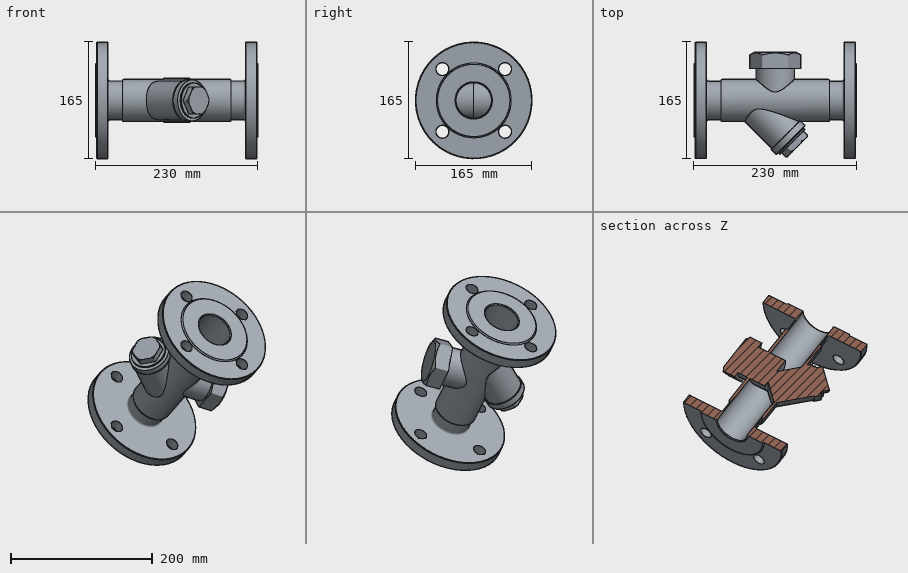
import cadquery as cq
import math


LENGTH = 230.0
HALF_LENGTH = LENGTH / 2
BORE_RADIUS = 50.0 / 2
BORE_CHAMFER = 1.4
NECK_RADIUS = 55.0 / 2
BODY_RADIUS = 60.0 / 2
BODY_HALF_LENGTH = 76.8
BODY_FILLET = BODY_RADIUS - NECK_RADIUS

FLANGE_RADIUS = 165.0 / 2
FLANGE_THICKNESS = 16.0
FLANGE_CHAMFER = 1.0
RAISED_FACE_RADIUS = 105.8 / 2
RAISED_FACE_HEIGHT = 1.8
NECK_FILLET = 3.0
BOLT_HOLE_DIAMETER = 18.0
BOLT_CIRCLE_RADIUS = 125.1 / 2
BOLT_COUNT = 4

COVER_BOSS_RADIUS = NECK_RADIUS
CAP_START = 45.0
CAP_HEIGHT = 23.2
CAP_ACROSS_FLATS = 62.8
CAP_TOP_RADIUS = 29.2
CAP_CHAMFER_ANGLE = 30.0

HEX_EDGE_FILLET = 1.2

BRANCH_ORIGIN_X = -34.3
BRANCH_ANGLE = 45.0
BRANCH_RADIUS = NECK_RADIUS
BRANCH_START = 10.8
COLLAR_START = 69.2
COLLAR_END = 79.1
COLLAR_RADIUS = 58.0 / 2
GASKET_END = 80.3
GASKET_RADIUS = 23.7
PLUG_DISC_END = 82.8
PLUG_DISC_RADIUS = 50.0 / 2
PLUG_HEX_END = 92.5
PLUG_ACROSS_FLATS = 38.0
PLUG_TOP_RADIUS = 20.0
PLUG_CHAMFER_ANGLE = 45.0


def chamfered_hexagon(plane, across_flats, height, top_radius, chamfer_angle):
    """Hexagonal prism on a plane, its free end turned to a cone."""
    across_corners = across_flats / math.cos(math.radians(30))
    corner_radius = across_corners / 2
    chamfer_depth = (corner_radius - top_radius) * math.tan(math.radians(chamfer_angle))
    prism = (
        cq.Workplane("XY")
        .polygon(6, across_corners)
        .extrude(height)
        .edges("|Z")
        .fillet(HEX_EDGE_FILLET)
    )
    envelope = (
        cq.Workplane("XZ")
        .polyline([
            (0, 0),
            (corner_radius, 0),
            (corner_radius, height - chamfer_depth),
            (top_radius, height),
            (0, height),
        ])
        .close()
        .revolve(360, (0, 0, 0), (0, 1, 0))
    )
    hexagon = prism.intersect(envelope)
    return cq.Workplane(hexagon.val().moved(cq.Location(plane)))


def make_body():
    """Thick middle of the pipe, rounded down to the neck at both ends."""
    return (
        cq.Workplane("YZ")
        .circle(BODY_RADIUS)
        .extrude(BODY_HALF_LENGTH, both=True)
        .faces("<X or >X")
        .fillet(BODY_FILLET)
    )


def make_left_end():
    """Flange, raised face and neck of the -X end, turned about the X axis."""
    face = -HALF_LENGTH
    front = face + RAISED_FACE_HEIGHT
    back = front + FLANGE_THICKNESS
    turned = (
        cq.Workplane("XY")
        .moveTo(face, 0)
        .lineTo(face, RAISED_FACE_RADIUS - RAISED_FACE_HEIGHT)
        .lineTo(front, RAISED_FACE_RADIUS)
        .lineTo(front, FLANGE_RADIUS - FLANGE_CHAMFER)
        .lineTo(front + FLANGE_CHAMFER, FLANGE_RADIUS)
        .lineTo(back - FLANGE_CHAMFER, FLANGE_RADIUS)
        .lineTo(back, FLANGE_RADIUS - FLANGE_CHAMFER)
        .lineTo(back, NECK_RADIUS + NECK_FILLET)
        .radiusArc((back + NECK_FILLET, NECK_RADIUS), -NECK_FILLET)
        .lineTo(0, NECK_RADIUS)
        .lineTo(0, 0)
        .close()
        .revolve(360, (0, 0, 0), (1, 0, 0))
    )
    bolt_holes = (
        cq.Workplane("YZ", origin=(face, 0, 0))
        .polarArray(BOLT_CIRCLE_RADIUS, 180 / BOLT_COUNT, 360, BOLT_COUNT)
        .circle(BOLT_HOLE_DIAMETER / 2)
        .extrude(back - face)
    )
    return turned.cut(bolt_holes)


def make_bore():
    """Straight bore through the pipe, widened by a chamfer at both mouths."""
    mouth_radius = BORE_RADIUS + BORE_CHAMFER
    return (
        cq.Workplane("XY")
        .polyline([
            (-HALF_LENGTH, 0),
            (-HALF_LENGTH, mouth_radius),
            (-HALF_LENGTH + BORE_CHAMFER, BORE_RADIUS),
            (HALF_LENGTH - BORE_CHAMFER, BORE_RADIUS),
            (HALF_LENGTH, mouth_radius),
            (HALF_LENGTH, 0),
        ])
        .close()
        .revolve(360, (0, 0, 0), (1, 0, 0))
    )


def make_cover():
    """Solid boss from the pipe axis outward, with the hexagonal cap on it."""
    boss = cq.Workplane("XZ").circle(COVER_BOSS_RADIUS).extrude(-CAP_START)
    cap_plane = cq.Plane(origin=(0, CAP_START, 0), xDir=(1, 0, 0), normal=(0, 1, 0))
    cap = chamfered_hexagon(
        cap_plane, CAP_ACROSS_FLATS, CAP_HEIGHT, CAP_TOP_RADIUS, CAP_CHAMFER_ANGLE
    )
    return boss.union(cap)


def make_branch():
    """Solid inclined branch: tube, collar, gasket, plug disc and plug hexagon."""
    angle = math.radians(BRANCH_ANGLE)
    along = cq.Vector(math.cos(angle), -math.sin(angle), 0)
    across = cq.Vector(math.sin(angle), math.cos(angle), 0)

    def plane_at(station):
        origin = cq.Vector(BRANCH_ORIGIN_X, 0, 0) + along * station
        return cq.Plane(origin=origin, xDir=across, normal=along)

    branch = chamfered_hexagon(
        plane_at(PLUG_DISC_END),
        PLUG_ACROSS_FLATS,
        PLUG_HEX_END - PLUG_DISC_END,
        PLUG_TOP_RADIUS,
        PLUG_CHAMFER_ANGLE,
    )
    round_steps = [
        (BRANCH_START, COLLAR_START, BRANCH_RADIUS),
        (COLLAR_START, COLLAR_END, COLLAR_RADIUS),
        (COLLAR_END, GASKET_END, GASKET_RADIUS),
        (GASKET_END, PLUG_DISC_END, PLUG_DISC_RADIUS),
    ]
    for start, end, radius in round_steps:
        step = cq.Workplane(plane_at(start)).circle(radius).extrude(end - start)
        branch = branch.union(step)
    return branch


left_end = make_left_end()
pipe = make_body().union(left_end).union(left_end.mirror("YZ")).cut(make_bore())

result = pipe.union(make_cover()).union(make_branch())